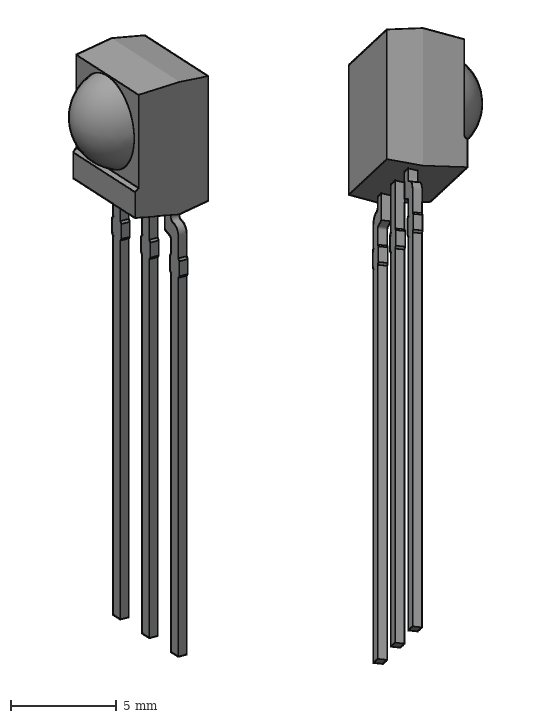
import cadquery as cq
import math

TOTAL_HEIGHT = 30.0

HOUSING_WIDTH = 6.0
HOUSING_HEIGHT = 6.9
BACK_DEPTH = 1.75
FRONT_DEPTH = 2.35
DRAFT_ANGLE = 6.5
HOUSING_BOTTOM = TOTAL_HEIGHT - HOUSING_HEIGHT
HOUSING_MIDDLE = TOTAL_HEIGHT - HOUSING_HEIGHT / 2

RECESS_DEPTH = 0.18
FOOT_HEIGHT = 1.62
FOOT_TOP = HOUSING_BOTTOM + FOOT_HEIGHT
RECESS_FACE_Y = RECESS_DEPTH - FRONT_DEPTH

DOME_RADIUS = 2.37
DOME_RISE = 1.7
DOME_Z = TOTAL_HEIGHT - 2.67

LEAD_PITCH = 2.55
LEAD_WIDTH = 0.65
LEAD_THICKNESS = 0.48
LEAD_INSERTION = 0.3
LEAD_TOP = HOUSING_BOTTOM + LEAD_INSERTION

TIE_WIDTH = 0.85
TIE_TOP = 20.75
TIE_BOTTOM = 19.75
TIE_SHOULDER = 0.12

NECK_INNER_X = 1.68
NECK_OUTER_X = 2.22
JOG_BASE_Z = 21.0
JOG_UPPER_Z = 22.5
JOG_LOWER_Z = 21.8
JOG_DROP = 0.18
NECK_RADIUS = 0.25
JOG_OUTER_RADIUS = 0.5
JOG_INNER_RADIUS = 0.15


def make_housing_half(depth, side):
    """Drafted block growing from the parting plane toward side * Y."""
    plane = cq.Plane(origin=(0, 0, HOUSING_MIDDLE), xDir=(1, 0, 0), normal=(0, side, 0))
    block = cq.Workplane(plane).rect(HOUSING_WIDTH, HOUSING_HEIGHT)
    return block.extrude(depth, taper=DRAFT_ANGLE)


def make_recess_cutter():
    """Wedge-bottomed cutter that sets the face above the foot back."""
    profile = [
        (-FRONT_DEPTH, FOOT_TOP),
        (RECESS_FACE_Y, FOOT_TOP + RECESS_DEPTH),
        (RECESS_FACE_Y, TOTAL_HEIGHT),
        (-FRONT_DEPTH, TOTAL_HEIGHT),
    ]
    return cq.Workplane("YZ").polyline(profile).close().extrude(HOUSING_WIDTH / 2, both=True)


def make_dome():
    """Spherical cap whose base circle lies on the recessed face."""
    sphere_radius = (DOME_RADIUS**2 + DOME_RISE**2) / (2 * DOME_RISE)
    mid_angle = math.asin(DOME_RADIUS / sphere_radius) / 2
    mid_radius = sphere_radius * math.sin(mid_angle)
    mid_rise = DOME_RISE - sphere_radius * (1 - math.cos(mid_angle))
    plane = cq.Plane(origin=(0, RECESS_FACE_Y, DOME_Z), xDir=(1, 0, 0), normal=(0, 0, 1))
    half_profile = (
        cq.Workplane(plane)
        .lineTo(DOME_RADIUS, 0)
        .threePointArc((mid_radius, -mid_rise), (0, -DOME_RISE))
        .close()
    )
    return half_profile.revolve(360, (0, 0), (0, 1))


def extrude_lead(points):
    """Flat strip from an XZ outline, just behind the parting plane."""
    return cq.Workplane("XZ").polyline(points).close().extrude(-LEAD_THICKNESS)


def make_straight_lead(x, top):
    """Straight lead centred on x, from its tip up to the given height."""
    half = LEAD_WIDTH / 2
    tie_half = TIE_WIDTH / 2
    right_edge = [
        (half, 0),
        (half, TIE_BOTTOM),
        (tie_half, TIE_BOTTOM + TIE_SHOULDER),
        (tie_half, TIE_TOP - TIE_SHOULDER),
        (half, TIE_TOP),
        (half, top),
    ]
    left_edge = [(-dx, z) for dx, z in reversed(right_edge)]
    return extrude_lead([(x + dx, z) for dx, z in right_edge + left_edge])


def make_outer_lead(side):
    """Lead that jogs outward below the housing; side is -1 or 1."""
    inner_x = LEAD_PITCH - LEAD_WIDTH / 2
    outer_x = LEAD_PITCH + LEAD_WIDTH / 2
    outline = [
        (inner_x, JOG_BASE_Z),
        (inner_x, JOG_LOWER_Z - JOG_DROP),
        (NECK_INNER_X, JOG_LOWER_Z),
        (NECK_INNER_X, LEAD_TOP),
        (NECK_OUTER_X, LEAD_TOP),
        (NECK_OUTER_X, JOG_UPPER_Z),
        (outer_x, JOG_UPPER_Z - JOG_DROP),
        (outer_x, JOG_BASE_Z),
    ]
    jog = extrude_lead([(side * x, z) for x, z in outline])

    def round_corner(solid, x, z, radius):
        corner = cq.selectors.NearestToPointSelector((side * x, LEAD_THICKNESS / 2, z))
        return solid.edges("|Y").edges(corner).fillet(radius)

    jog = round_corner(jog, outer_x, JOG_UPPER_Z - JOG_DROP, JOG_OUTER_RADIUS)
    jog = round_corner(jog, NECK_OUTER_X, JOG_UPPER_Z, NECK_RADIUS)
    jog = round_corner(jog, inner_x, JOG_LOWER_Z - JOG_DROP, JOG_INNER_RADIUS)
    return make_straight_lead(side * LEAD_PITCH, JOG_BASE_Z).union(jog).clean()


def make_housing(leads):
    """Housing with its dome and a matching socket for each lead."""
    housing = make_housing_half(BACK_DEPTH, 1).union(make_housing_half(FRONT_DEPTH, -1))
    housing = housing.cut(make_recess_cutter()).union(make_dome())
    for lead in leads:
        housing = housing.cut(lead)
    return housing


center_lead = make_straight_lead(0, LEAD_TOP)
outer_leads = [make_outer_lead(side) for side in (-1, 1)]
leads = [center_lead, *outer_leads]
housing = make_housing(leads)

result = cq.Compound.makeCompound([housing.val(), *[lead.val() for lead in leads]])